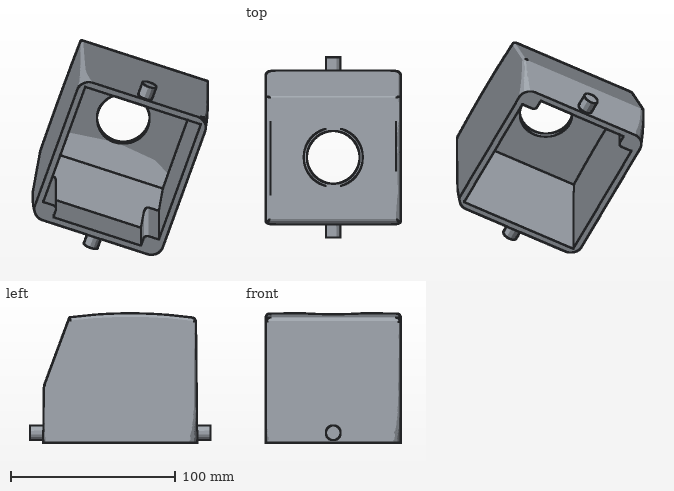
import cadquery as cq
import math

WIDTH = 82.5
BASE_DEPTH = 94.0
HEIGHT = 79.0
WALL = 4.0
DRAFT = math.radians(0.6)
MARGIN = 1.0

CORNER_ROUNDING = [
    (0.0, 7.5, 7.5),
    (8.0, 5.2, 5.6),
    (18.0, 3.3, 3.9),
    (34.0, 2.65, 3.0),
    (HEIGHT + MARGIN, 1.5, 1.5),
]

ROOF_CENTRE_Y = -6.0
ROOF_RADIUS = 280.0
SLOPE_BASE_Z = 34.5
SLOPE_TOP_Y = 31.0
ROOF_EDGE_RADIUS = 3.0
SLOPE_EDGE_RADIUS = 2.2
RIDGE_RADIUS = 1.5
KNEE_RADIUS = 10.0
FRONT_EDGE_RADIUS = 3.3

ENTRY_Y = -6.0
ENTRY_DIAMETER = 32.0
SPOTFACE_DIAMETER = 36.0
SPOTFACE_REACH = 17.4

PIN_DIAMETER = 9.0
PIN_SPAN = 110.0
PIN_Z = 6.1

POST_FACE_Y = 35.7
POST_WIDTH = 9.0
POST_EDGE_RADIUS = 2.4


def wall_y(z):
    """Distance of the drafted front and rear walls from the XZ plane at height z."""
    return BASE_DEPTH / 2 - z * math.tan(DRAFT)


def roof_z(y):
    """Height of the arched roof at position y."""
    offset = y - ROOF_CENTRE_Y
    return HEIGHT - ROOF_RADIUS + math.sqrt(ROOF_RADIUS**2 - offset**2)


SLOPE_RUN = wall_y(SLOPE_BASE_Z) - SLOPE_TOP_Y
SLOPE_RISE = roof_z(SLOPE_TOP_Y) - SLOPE_BASE_Z


def slope_y(z):
    """Position of the rear slope, continued past its ends, at height z."""
    return SLOPE_TOP_Y + (roof_z(SLOPE_TOP_Y) - z) * SLOPE_RUN / SLOPE_RISE


def drafted_block():
    """Block with drafted front and rear whose corner rounding shrinks with height."""
    sections = []
    for z, front_radius, rear_radius in CORNER_ROUNDING:
        section = cq.Sketch().rect(WIDTH, 2 * wall_y(z))
        section = section.vertices("<Y").fillet(front_radius).reset()
        section = section.vertices(">Y").fillet(rear_radius).reset()
        sections.append(section.moved(cq.Location(cq.Vector(0, 0, z))))
    return cq.Workplane("XY").placeSketch(*sections).loft()


def profile(base_z):
    """Side outline of roof, slope and front wall, closed by a flat base at base_z."""
    front_top_y = -wall_y(roof_z(-wall_y(HEIGHT)))
    return (
        cq.Workplane("YZ")
        .moveTo(-wall_y(base_z), base_z)
        .lineTo(slope_y(base_z), base_z)
        .lineTo(SLOPE_TOP_Y, roof_z(SLOPE_TOP_Y))
        .threePointArc((ROOF_CENTRE_Y, HEIGHT), (front_top_y, roof_z(front_top_y)))
        .close()
    )


def nearest(x, y, z):
    """Selector for the edge whose middle lies nearest to a point."""
    return cq.selectors.NearestToPointSelector((x, y, z))


def cross_rounded_prism():
    """Roof prism with rounded edges across the front and along the ridge."""
    front_y = -wall_y(HEIGHT)
    prism = profile(0).extrude(WIDTH / 2 + MARGIN, both=True)
    prism = prism.edges(nearest(0, front_y, roof_z(front_y))).fillet(FRONT_EDGE_RADIUS)
    return prism.edges(nearest(0, SLOPE_TOP_Y, roof_z(SLOPE_TOP_Y))).fillet(RIDGE_RADIUS)


def roof_sides_prism():
    """Prism under the arched roof, overrunning front and rear, with rounded side edges."""
    front_y = -BASE_DEPTH / 2 - MARGIN
    rear_y = BASE_DEPTH / 2 + MARGIN
    return (
        cq.Workplane("YZ")
        .moveTo(front_y, 0)
        .lineTo(rear_y, 0)
        .lineTo(rear_y, roof_z(rear_y))
        .threePointArc((ROOF_CENTRE_Y, HEIGHT), (front_y, roof_z(front_y)))
        .close()
        .extrude(WIDTH / 2, both=True)
        .edges("%CIRCLE")
        .fillet(ROOF_EDGE_RADIUS)
    )


def slope_sides_prism():
    """Prism in front of the rear wall and slope, overrunning front and roof, with rounded side edges."""
    front_y = -BASE_DEPTH / 2 - MARGIN
    top_z = HEIGHT + MARGIN
    slope_middle_z = (SLOPE_BASE_Z + top_z) / 2
    outline = [
        (front_y, 0),
        (wall_y(0), 0),
        (wall_y(SLOPE_BASE_Z), SLOPE_BASE_Z),
        (slope_y(top_z), top_z),
        (front_y, top_z),
    ]
    prism = cq.Workplane("YZ").polyline(outline).close().extrude(WIDTH / 2, both=True)
    prism = prism.edges(nearest(0, wall_y(SLOPE_BASE_Z), SLOPE_BASE_Z)).fillet(KNEE_RADIUS)
    for x in (-WIDTH / 2, WIDTH / 2):
        prism = prism.edges(nearest(x, slope_y(slope_middle_z), slope_middle_z)).fillet(SLOPE_EDGE_RADIUS)
    return prism


def cavity():
    """Space inside the hood, open at the base, with posts left in the rear corners."""
    inner_width = WIDTH - 2 * WALL
    inner_depth = BASE_DEPTH - 2 * WALL
    space = profile(-WALL).offset2D(-WALL).extrude(inner_width / 2, both=True)
    space = space.intersect(cq.Workplane("XY").box(inner_width, inner_depth, 2 * HEIGHT))
    post_length = BASE_DEPTH / 2 - POST_FACE_Y
    for side in (-1, 1):
        post_x = side * (inner_width - POST_WIDTH) / 2
        post = (
            cq.Workplane("XY", origin=(post_x, POST_FACE_Y + post_length / 2, 0))
            .rect(POST_WIDTH, post_length)
            .extrude(HEIGHT)
            .edges(nearest(post_x - side * POST_WIDTH / 2, POST_FACE_Y, HEIGHT / 2))
            .fillet(POST_EDGE_RADIUS)
        )
        space = space.cut(post)
    return space


def cable_entry():
    """Through hole in the roof with a flat spotface around it."""
    spotface_z = roof_z(ENTRY_Y + SPOTFACE_REACH)
    plane = cq.Workplane("XY", origin=(0, ENTRY_Y, spotface_z))
    hole = plane.circle(ENTRY_DIAMETER / 2).extrude(-2 * WALL)
    return plane.circle(SPOTFACE_DIAMETER / 2).extrude(2 * WALL).union(hole)


def locking_pin(side):
    """Round pin standing out of the front (-1) or rear (1) wall, rooted inside the wall."""
    root_y = BASE_DEPTH / 2 - WALL / 2
    pin = cq.Workplane("XZ", origin=(0, side * root_y, PIN_Z)).circle(PIN_DIAMETER / 2)
    return pin.extrude(-side * (PIN_SPAN / 2 - root_y))


hood = drafted_block()
for trimming_prism in (cross_rounded_prism(), roof_sides_prism(), slope_sides_prism()):
    hood = hood.intersect(trimming_prism)
hood = hood.cut(cavity()).cut(cable_entry())
for pin_side in (-1, 1):
    hood = hood.union(locking_pin(pin_side))

result = hood